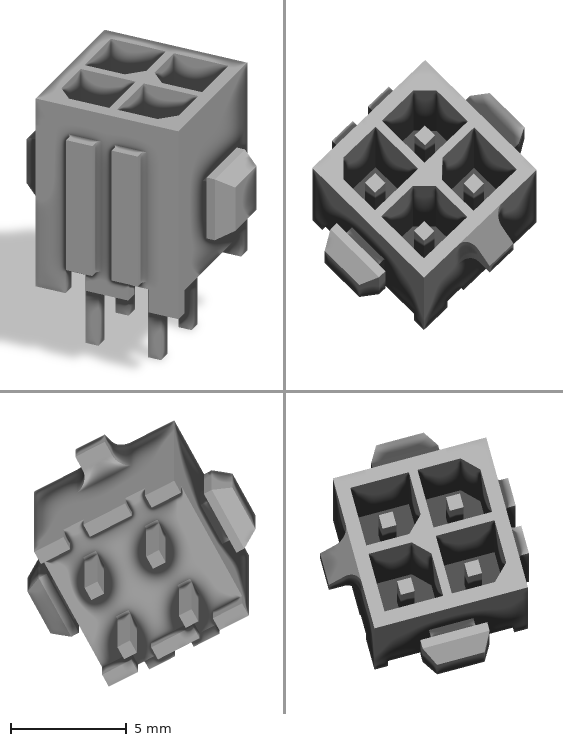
import cadquery as cq
import math


OVERALL_Z = 12.42

BODY_X = 6.83
BODY_Y = 6.85
BODY_Z = 9.23
PITCH = 3.0

CAVITY_SIDE = 2.62
CAVITY_CORNER = 0.7
CAVITY_FLOOR_Z = 2.11

UNDERSIDE_Z = 1.13
END_WALL_INNER_Y = (PITCH + CAVITY_SIDE) / 2
NOTCH_WIDTH = 0.97
TONGUE_BOTTOM_Z = 0.35

RIB_INNER_X = 0.46
RIB_WIDTH = 1.25
RIB_DEPTH = 0.51
RIB_BOTTOM_Z = 1.45
RIB_TOP_Z = 7.84
RIB_FILLET = 0.2

LATCH_WIDTH = 1.44
LATCH_DEPTH = 1.3
LATCH_TIP_TOP_Z = 7.44
LATCH_TIP_BOTTOM_Z = 6.32
LATCH_FILLET = 0.61

PEG_SHANK_SIDE = 1.99
PEG_HEAD_SIDE = 2.99
PEG_FACE_SIDE = 2.12
PEG_SHANK_LENGTH = 0.42
PEG_HEAD_LENGTH = 0.39
PEG_SPAN = 10.0

PIN_SIDE = 0.62
PIN_TIP_Z = 6.71
FLANGE_WIDTH = 0.9
FLANGE_THICKNESS = 0.07
TAIL_END_Z = BODY_Z - OVERALL_Z

SIDES = (-1, 1)
ARC_MIDDLE = 1 - math.cos(math.pi / 4)
PIN_PLACES = [(x * PITCH / 2, y * PITCH / 2) for x in SIDES for y in SIDES]


def block(x_size, y_size, z_low, z_high, x=0.0, y=0.0):
    """Upright block centred on (x, y) between two heights."""
    return cq.Workplane("XY", origin=(x, y, z_low)).rect(x_size, y_size).extrude(z_high - z_low)


def cavity_cutter(x, y):
    """Square cavity with one -Y corner cut: the inner one in the +Y row, the outer one in the -Y row."""
    corner_side = -1 if x * y > 0 else 1
    half = CAVITY_SIDE / 2
    outline = [
        (-half * corner_side, -half),
        ((half - CAVITY_CORNER) * corner_side, -half),
        (half * corner_side, -half + CAVITY_CORNER),
        (half * corner_side, half),
        (-half * corner_side, half),
    ]
    floor = cq.Workplane("XY", origin=(x, y, CAVITY_FLOOR_Z))
    return floor.polyline(outline).close().extrude(BODY_Z - CAVITY_FLOOR_Z)


def underside_cutter():
    """Channel along X, notches beside the legs along Y, and the shortening of the tongues."""
    channel = block(BODY_X, 2 * END_WALL_INNER_Y, 0, UNDERSIDE_Z)
    tongues = block(PITCH, BODY_Y, 0, TONGUE_BOTTOM_Z)
    cutter = channel.union(tongues)
    for side in SIDES:
        cutter = cutter.union(block(NOTCH_WIDTH, BODY_Y, 0, UNDERSIDE_Z, x=side * PITCH / 2))
    return cutter


def rib(side):
    """Guide rib with concave fillets where it meets the housing."""
    inner = RIB_INNER_X
    outer = RIB_INNER_X + RIB_WIDTH
    base_y = -BODY_Y / 2
    fillet_y = base_y - RIB_FILLET
    front_y = base_y - RIB_DEPTH
    bend = RIB_FILLET * ARC_MIDDLE
    right_rib = (
        cq.Workplane("XY", origin=(0, 0, RIB_BOTTOM_Z))
        .moveTo(inner - RIB_FILLET, base_y)
        .threePointArc((inner - bend, base_y - bend), (inner, fillet_y))
        .lineTo(inner, front_y)
        .lineTo(outer, front_y)
        .lineTo(outer, fillet_y)
        .threePointArc((outer + bend, base_y - bend), (outer + RIB_FILLET, base_y))
        .close()
        .extrude(RIB_TOP_Z - RIB_BOTTOM_Z)
    )
    return right_rib if side > 0 else right_rib.mirror("YZ")


def latch():
    """Ramped latch: the side profile and the plan outline, both flared at the root, intersected."""
    base_y = BODY_Y / 2
    tip_y = base_y + LATCH_DEPTH
    fillet_y = base_y + LATCH_FILLET
    half_width = LATCH_WIDTH / 2
    bend = LATCH_FILLET * ARC_MIDDLE
    root_half = half_width + LATCH_FILLET
    plan = (
        cq.Workplane("XY")
        .moveTo(-root_half, base_y)
        .threePointArc((-half_width - bend, base_y + bend), (-half_width, fillet_y))
        .lineTo(-half_width, tip_y)
        .lineTo(half_width, tip_y)
        .lineTo(half_width, fillet_y)
        .threePointArc((half_width + bend, base_y + bend), (root_half, base_y))
        .close()
        .extrude(BODY_Z)
    )
    bottom_z = LATCH_TIP_BOTTOM_Z
    profile = (
        cq.Workplane("YZ", origin=(-root_half, 0, 0))
        .moveTo(base_y, BODY_Z)
        .lineTo(tip_y, LATCH_TIP_TOP_Z)
        .lineTo(tip_y, bottom_z)
        .lineTo(fillet_y, bottom_z)
        .threePointArc((base_y + bend, bottom_z - bend), (base_y, bottom_z - LATCH_FILLET))
        .close()
        .extrude(2 * root_half)
    )
    return plan.intersect(profile)


def peg(side):
    """Square peg: shank, wider head, and a tapered end."""
    shank_x = BODY_X / 2
    head_x = shank_x + PEG_SHANK_LENGTH
    taper_x = head_x + PEG_HEAD_LENGTH
    taper_length = PEG_SPAN / 2 - taper_x

    def section_plane(x):
        return cq.Workplane("YZ", origin=(x, 0, BODY_Z / 2))

    shank = section_plane(shank_x).rect(PEG_SHANK_SIDE, PEG_SHANK_SIDE).extrude(PEG_SHANK_LENGTH)
    head = section_plane(head_x).rect(PEG_HEAD_SIDE, PEG_HEAD_SIDE).extrude(PEG_HEAD_LENGTH)
    taper = (
        section_plane(taper_x)
        .rect(PEG_HEAD_SIDE, PEG_HEAD_SIDE)
        .workplane(offset=taper_length)
        .rect(PEG_FACE_SIDE, PEG_FACE_SIDE)
        .loft(ruled=True)
    )
    right_peg = shank.union(head).union(taper)
    return right_peg if side > 0 else right_peg.mirror("YZ")


def contact(x, y):
    """Square contact blade standing on the floor of its cavity."""
    return block(PIN_SIDE, PIN_SIDE, CAVITY_FLOOR_Z, PIN_TIP_Z, x, y)


def tail(x, y):
    """Square solder tail with a thin flange against the underside of the housing."""
    post = block(PIN_SIDE, PIN_SIDE, TAIL_END_Z, UNDERSIDE_Z, x, y)
    flange = block(PIN_SIDE, FLANGE_WIDTH, UNDERSIDE_Z - FLANGE_THICKNESS, UNDERSIDE_Z, x, y)
    return post.union(flange)


def make_housing():
    """Housing with its latch, ribs and pegs, hollowed by the cavities."""
    body = block(BODY_X, BODY_Y, 0, BODY_Z).cut(underside_cutter())
    body = body.union(latch())
    for side in SIDES:
        body = body.union(rib(side)).union(peg(side))
    for x, y in PIN_PLACES:
        body = body.cut(cavity_cutter(x, y))
    return body


housing = make_housing()
contacts = [contact(x, y) for x, y in PIN_PLACES]
tails = [tail(x, y) for x, y in PIN_PLACES]

result = cq.Compound.makeCompound(
    [housing.val()] + [blade.val() for blade in contacts] + [post.val() for post in tails]
)